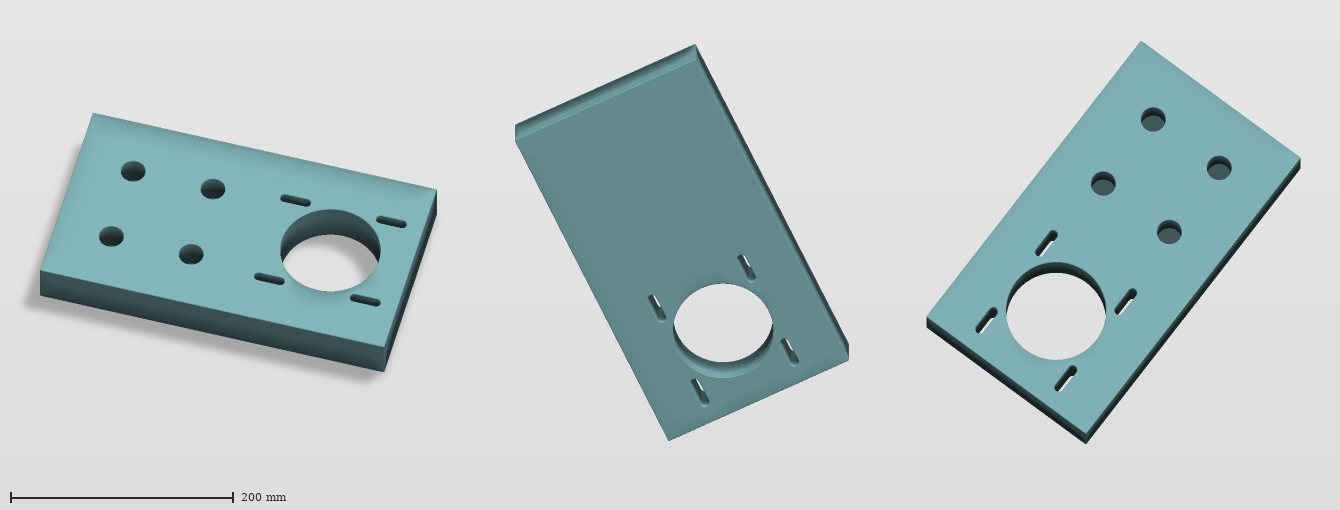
import cadquery as cq
import math

length = 320.0
width = 180.0
thickness = 40.0

edge_chamfer = 0.5

blind_diameter = 22.0
blind_depth = 30.0
blind_bolt_circle = 105.0
blind_center_x = -71.0

bore_diameter = 90.0
bore_center_x = 85.5

slot_width = 8.0
slot_length = 28.0
slot_bolt_circle = 126.0


def top_plane(center_x):
    """Workplane on the plate's top face, centred at the given X."""
    return cq.Workplane("XY", origin=(center_x, 0, thickness))


def square_pattern(center_x, bolt_circle):
    """Four points at the corners of the square inscribed in a bolt circle."""
    spacing = bolt_circle / math.sqrt(2)
    return top_plane(center_x).rarray(spacing, spacing, 2, 2)


plate = cq.Workplane("XY").box(length, width, thickness, centered=(True, True, False))
plate = plate.edges("|Z").chamfer(edge_chamfer)

blind_points = square_pattern(blind_center_x, blind_bolt_circle)
blind_holes = blind_points.circle(blind_diameter / 2).extrude(-blind_depth)

bore = top_plane(bore_center_x).circle(bore_diameter / 2).extrude(-thickness)

slot_points = square_pattern(bore_center_x, slot_bolt_circle)
slots = slot_points.slot2D(slot_length, slot_width).extrude(-thickness)

drilled_plate = plate.cut(blind_holes).cut(bore).cut(slots)

result = drilled_plate.faces(">Z or <Z").chamfer(edge_chamfer)